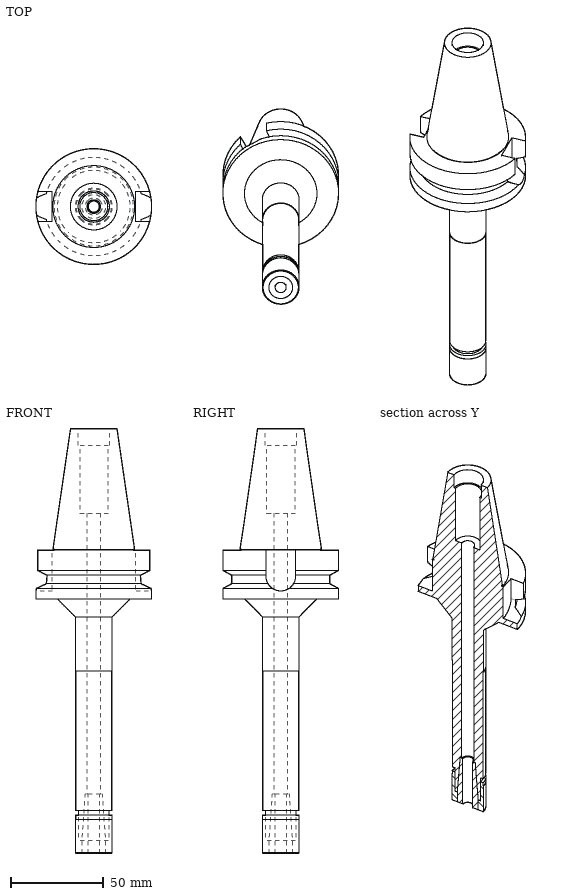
import cadquery as cq

TOTAL_HEIGHT = 230.5

TAPER_LENGTH = 65.5
TAPER_SMALL_RADIUS = 12.7
TAPER_RATE = 7 / 24
TAPER_LARGE_RADIUS = TAPER_SMALL_RADIUS + TAPER_LENGTH * TAPER_RATE / 2
NECK_LENGTH = 0.5
NECK_RADIUS = 21.5

FLANGE_RADIUS = 31.45
FLANGE_HEIGHT = 26.5
UPPER_RIM_HEIGHT = 11.0
LOWER_RIM_HEIGHT = 5.8
GROOVE_FLOOR_RADIUS = 26.7
GROOVE_FLOOR_HEIGHT = 4.5
GROOVE_FLANK_HEIGHT = (FLANGE_HEIGHT - UPPER_RIM_HEIGHT - LOWER_RIM_HEIGHT - GROOVE_FLOOR_HEIGHT) / 2

SLOT_WIDTH = 16.1
SLOT_DEPTH = 22.1
SLOT_FLOOR_OFFSET = 22.5

CONE_HEIGHT = 9.7
STEM_RADIUS = 10.02
CONE_RADIUS = STEM_RADIUS + CONE_HEIGHT
STEM_UPPER_LENGTH = 29.5
STEM_LOWER_RADIUS = 19.5 / 2
NUT_HEIGHT = 20.7
NUT_GAP = 2.5
NUT_RADIUS = STEM_RADIUS
NUT_BAND_HEIGHT = 2.3
NUT_BAND_RADIUS = 10.0
NUT_CHAMFER = 0.5
NOSE_RADIUS = 8.3
NOSE_BOTTOM = 7.0

DRAWBAR_BORE_RADIUS = 8.5
DRAWBAR_BORE_DEPTH = 9.2
THREAD_BORE_RADIUS = 7.5
THREAD_BORE_DEPTH = 46.0
COOLANT_BORE_RADIUS = 3.7

COLLET_TOP = 32.3
COLLET_TOP_RADIUS = 4.5
COLLET_LARGE_RADIUS = 6.5
COLLET_BORE_RADIUS = 3.0

FLANGE_TOP = TOTAL_HEIGHT - TAPER_LENGTH - NECK_LENGTH
FLANGE_BOTTOM = FLANGE_TOP - FLANGE_HEIGHT
STEM_TOP = FLANGE_BOTTOM - CONE_HEIGHT
STEM_STEP = STEM_TOP - STEM_UPPER_LENGTH
STEM_BOTTOM = NUT_HEIGHT + NUT_GAP


def revolve_profile(points):
    """Revolve a closed (radius, height) outline about the Z axis."""
    return cq.Workplane("XZ").polyline(points).close().revolve(360, (0, 0, 0), (0, 1, 0))


def cylinder(radius, bottom, top):
    return cq.Workplane("XY").workplane(offset=bottom).circle(radius).extrude(top - bottom)


def make_collet_envelope():
    """Outside shape of the collet, also used to cut its seat."""
    return revolve_profile([
        (0, 0),
        (COLLET_LARGE_RADIUS, 0),
        (COLLET_LARGE_RADIUS, NOSE_BOTTOM),
        (COLLET_TOP_RADIUS, COLLET_TOP),
        (0, COLLET_TOP),
    ])


def make_drive_slot(side):
    """Round-bottomed slot cutter on the +X (side = 1) or -X (side = -1) flank."""
    slot_bottom = FLANGE_TOP - SLOT_DEPTH
    arc_height = slot_bottom + SLOT_WIDTH / 2
    return (
        cq.Workplane("YZ")
        .workplane(offset=side * SLOT_FLOOR_OFFSET)
        .moveTo(-SLOT_WIDTH / 2, FLANGE_TOP)
        .lineTo(-SLOT_WIDTH / 2, arc_height)
        .threePointArc((0, slot_bottom), (SLOT_WIDTH / 2, arc_height))
        .lineTo(SLOT_WIDTH / 2, FLANGE_TOP)
        .close()
        .extrude(side * FLANGE_RADIUS)
    )


def make_holder():
    upper_rim_bottom = FLANGE_TOP - UPPER_RIM_HEIGHT
    groove_floor_top = upper_rim_bottom - GROOVE_FLANK_HEIGHT
    groove_floor_bottom = groove_floor_top - GROOVE_FLOOR_HEIGHT
    lower_rim_top = FLANGE_BOTTOM + LOWER_RIM_HEIGHT
    holder = revolve_profile([
        (0, TOTAL_HEIGHT),
        (TAPER_SMALL_RADIUS, TOTAL_HEIGHT),
        (TAPER_LARGE_RADIUS, TOTAL_HEIGHT - TAPER_LENGTH),
        (NECK_RADIUS, TOTAL_HEIGHT - TAPER_LENGTH),
        (NECK_RADIUS, FLANGE_TOP),
        (FLANGE_RADIUS, FLANGE_TOP),
        (FLANGE_RADIUS, upper_rim_bottom),
        (GROOVE_FLOOR_RADIUS, groove_floor_top),
        (GROOVE_FLOOR_RADIUS, groove_floor_bottom),
        (FLANGE_RADIUS, lower_rim_top),
        (FLANGE_RADIUS, FLANGE_BOTTOM),
        (CONE_RADIUS, FLANGE_BOTTOM),
        (STEM_RADIUS, STEM_TOP),
        (STEM_RADIUS, STEM_STEP),
        (STEM_LOWER_RADIUS, STEM_STEP),
        (STEM_LOWER_RADIUS, STEM_BOTTOM),
        (NOSE_RADIUS, STEM_BOTTOM),
        (NOSE_RADIUS, NOSE_BOTTOM),
        (0, NOSE_BOTTOM),
    ])
    for side in (-1, 1):
        holder = holder.cut(make_drive_slot(side))
    bores = (
        (DRAWBAR_BORE_RADIUS, TOTAL_HEIGHT - DRAWBAR_BORE_DEPTH),
        (THREAD_BORE_RADIUS, TOTAL_HEIGHT - THREAD_BORE_DEPTH),
        (COOLANT_BORE_RADIUS, 0),
    )
    for radius, bottom in bores:
        holder = holder.cut(cylinder(radius, bottom, TOTAL_HEIGHT))
    return holder.cut(make_collet_envelope())


def make_nut():
    """Clamping nut around the holder nose, closed in around the collet at its lower end."""
    barrel_top = NUT_HEIGHT - NUT_BAND_HEIGHT
    return revolve_profile([
        (COLLET_LARGE_RADIUS, 0),
        (NUT_RADIUS - NUT_CHAMFER, 0),
        (NUT_RADIUS, NUT_CHAMFER),
        (NUT_RADIUS, barrel_top),
        (NUT_BAND_RADIUS, barrel_top),
        (NUT_BAND_RADIUS, NUT_HEIGHT),
        (NOSE_RADIUS, NUT_HEIGHT),
        (NOSE_RADIUS, NOSE_BOTTOM),
        (COLLET_LARGE_RADIUS, NOSE_BOTTOM),
    ])


def make_collet():
    return make_collet_envelope().cut(cylinder(COLLET_BORE_RADIUS, 0, COLLET_TOP))


holder = make_holder()
nut = make_nut()
collet = make_collet()

result = cq.Compound.makeCompound([holder.val(), nut.val(), collet.val()])